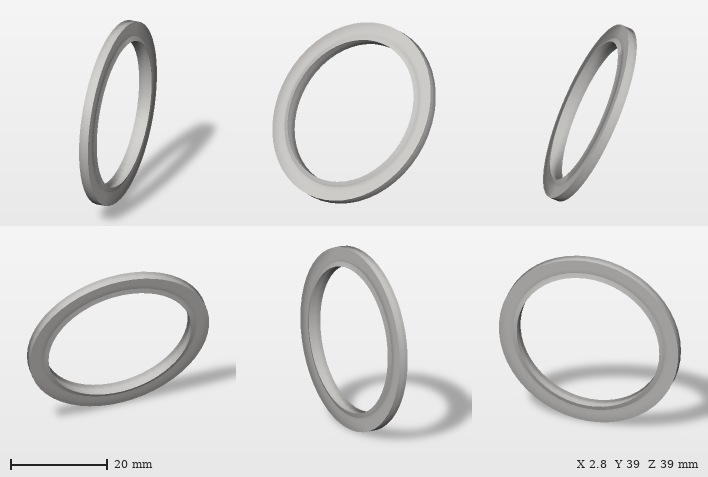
import cadquery as cq

outer_diameter = 39.0
bore_diameter = 31.0
lip_base_diameter = 33.0
ring_width = 2.0
overall_width = 2.8

outer_radius = outer_diameter / 2
bore_radius = bore_diameter / 2
lip_base_radius = lip_base_diameter / 2
half_ring = ring_width / 2
half_overall = overall_width / 2

section = (
    cq.Workplane("XY")
    .moveTo(-half_overall, bore_radius)
    .lineTo(-half_ring, lip_base_radius)
    .lineTo(-half_ring, outer_radius)
    .lineTo(half_ring, outer_radius)
    .lineTo(half_ring, lip_base_radius)
    .lineTo(half_overall, bore_radius)
    .close()
)

result = section.revolve(360, (0, 0, 0), (1, 0, 0))